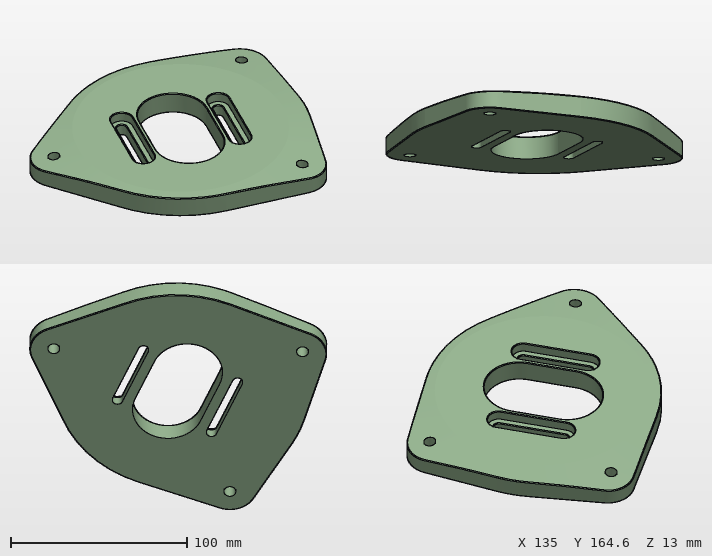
import cadquery as cq
import math

thickness = 13.0
back_reach = 74.9
nose_reach = 89.7
edge_break = 0.5

corner_radius = 15.5
back_radius = 75.0
back_slope = 6.9
nose_half_angle = 45
back_corner_x = 65.8
flank_radius = 75.0
flank_top_x = 67.5
flank_top_y = 4.3
flank_bottom_x = 43.5

disc_radius = 61.5
fall_angle = 6.3

screw_diameter = 6.7
back_screw_x = 53.0
back_screw_y = 54.6
nose_screw_y = -76.2

opening_half_straight = 14.0
opening_radius = 20.0
slot_offset = 29.0
slot_half_straight = 19.0
slot_radius = 3.0
pocket_radius = 6.4
pocket_depth = 6.0


def shield():
    """Sharp-cornered shield at full thickness, with its corners then rounded."""
    slope = math.radians(back_slope)
    half_angle = math.radians(nose_half_angle)
    back_apex_y = back_reach + back_radius * (1 / math.cos(slope) - 1)
    back_corner_y = back_apex_y - back_corner_x * math.tan(slope)
    nose_apex_y = -nose_reach - corner_radius * (1 / math.sin(half_angle) - 1)
    flank_bottom_y = nose_apex_y + flank_bottom_x / math.tan(half_angle)

    blank = (
        cq.Workplane("XY")
        .moveTo(0, back_apex_y)
        .lineTo(back_corner_x, back_corner_y)
        .lineTo(flank_top_x, flank_top_y)
        .radiusArc((flank_bottom_x, flank_bottom_y), flank_radius)
        .lineTo(0, nose_apex_y)
        .lineTo(-flank_bottom_x, flank_bottom_y)
        .radiusArc((-flank_top_x, flank_top_y), flank_radius)
        .lineTo(-back_corner_x, back_corner_y)
        .close()
        .extrude(thickness)
    )
    roundings = [(0, back_apex_y, back_radius),
                 (back_corner_x, back_corner_y, corner_radius),
                 (-back_corner_x, back_corner_y, corner_radius),
                 (0, nose_apex_y, corner_radius)]
    for x, y, radius in roundings:
        corner_edge = cq.selectors.NearestToPointSelector((x, y, thickness / 2))
        blank = blank.edges("|Z").edges(corner_edge).fillet(radius)
    return blank


def crown():
    """Round blank with a flat top disc and a conical fall around it."""
    blank_radius = nose_reach + corner_radius
    rim_height = thickness - (blank_radius - disc_radius) * math.tan(math.radians(fall_angle))
    return (
        cq.Workplane("XZ")
        .polyline([(0, 0), (blank_radius, 0), (blank_radius, rim_height),
                   (disc_radius, thickness), (0, thickness)])
        .close()
        .revolve(360, (0, 0, 0), (0, 1, 0))
    )


def obround_cutter(half_straight, radius, centre_y, top, depth):
    """Slot-shaped cutter along X, sunk from 'top', with a chamfered mouth."""
    def obround(end_radius):
        profile = cq.Workplane("XY", origin=(0, centre_y, top))
        return profile.slot2D(2 * (half_straight + end_radius), 2 * end_radius)

    shaft = obround(radius).extrude(-depth)
    mouth = obround(radius + edge_break).extrude(-edge_break, taper=45)
    return shaft.union(mouth)


def screw_holes():
    """Plain through holes, one near each rounded corner."""
    return (
        cq.Workplane("XY")
        .pushPoints([(-back_screw_x, back_screw_y), (back_screw_x, back_screw_y), (0, nose_screw_y)])
        .circle(screw_diameter / 2)
        .extrude(thickness)
    )


plate = shield().intersect(crown())
plate = plate.edges("%HYPERBOLA or %BSPLINE").chamfer(edge_break)
plate = plate.faces("<Z").edges().chamfer(edge_break)

plate = plate.cut(screw_holes())
plate = plate.cut(obround_cutter(opening_half_straight, opening_radius, 0, thickness, thickness))
for side in (1, -1):
    slot_y = side * slot_offset
    pocket_floor = thickness - pocket_depth
    plate = plate.cut(obround_cutter(slot_half_straight, pocket_radius, slot_y, thickness, pocket_depth))
    plate = plate.cut(obround_cutter(slot_half_straight, slot_radius, slot_y, pocket_floor, pocket_floor))

result = plate